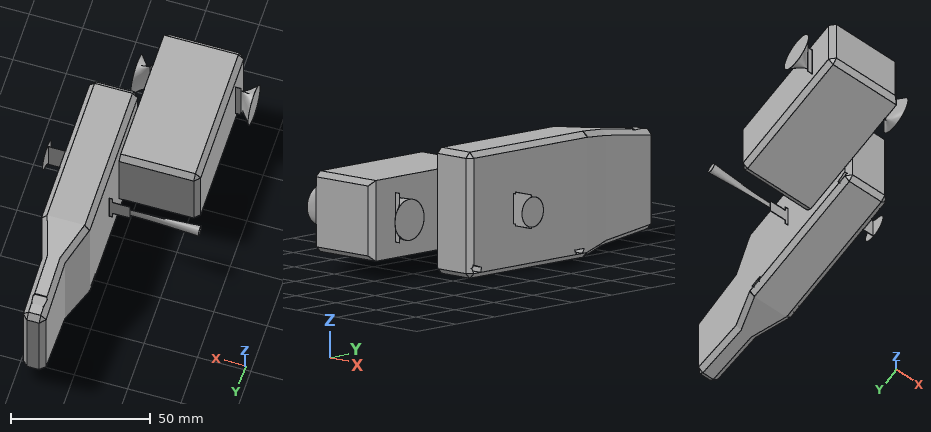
import cadquery as cq

handle_width = 18.2
handle_height = 46.0
handle_length = 100.0
body_length = 60.0
shoulder_length = 15.0
neck_width = 8.6
tip_height = 36.0
chamfer = 2.0
handle_mid_x = handle_width / 2

block_width = 30.0
block_height = 29.5
block_front_y = -31.5
block_back_y = 24.8

web_thickness = 0.1

axle_y = block_front_y + 12.0
axle_collar_height = 18.0
axle_collar_length = 2.0
axle_diameter = 15.0
axle_taper_length = 5.0

knob_y = 22.4
knob_collar_height = 11.0
knob_collar_length = 1.0
knob_head_height = 12.3
knob_head_length = 8.0
knob_face_diameter = 11.0
knob_taper_length = 0.6

pin_y = 36.7
pin_collar_height = 12.3
pin_collar_length = 1.2
pin_step_height = 7.5
pin_step_length = 6.6
pin_diameter = 4.0
pin_taper_length = 26.2

seat_y = handle_length - 7.6
seat_length = 4.0
seat_diameter = 5.8
seat_cut_height = 2.0

window_floor_z = -handle_height / 2 + chamfer
rear_window_y = 56.2
rear_window_floor_length = 3.0
rear_window_top_length = 4.8
rear_window_height = 1.7
front_window_height = 3.1
front_window_corner_height = 1.8
front_window_back_y = 6.0
front_window_floor_back_y = 5.5
front_window_nose_y = 1.5


def make_handle():
    """Bar that narrows in plan through a shoulder and in height from the body to the tip."""
    neck_y = body_length + shoulder_length
    half_width = handle_width / 2
    half_neck = neck_width / 2
    plan = (
        cq.Workplane("XY")
        .workplane(offset=-handle_height / 2)
        .polyline([
            (handle_mid_x - half_width, 0),
            (handle_mid_x + half_width, 0),
            (handle_mid_x + half_width, body_length),
            (handle_mid_x + half_neck, neck_y),
            (handle_mid_x + half_neck, handle_length),
            (handle_mid_x - half_neck, handle_length),
            (handle_mid_x - half_neck, neck_y),
            (handle_mid_x - half_width, body_length),
        ])
        .close()
        .extrude(handle_height)
    )
    profile = (
        cq.Workplane("YZ")
        .polyline([
            (0, -handle_height / 2),
            (body_length, -handle_height / 2),
            (handle_length, -tip_height / 2),
            (handle_length, tip_height / 2),
            (body_length, handle_height / 2),
            (0, handle_height / 2),
        ])
        .close()
        .extrude(handle_width)
    )
    bar = plan.intersect(profile)
    outer_edges = bar.edges("not(|Z or |X)").add(bar.faces("<Y or >Y").edges())
    return outer_edges.chamfer(chamfer)


def make_block():
    """Box with chamfered edges, except those where it lies along the handle's plane."""
    length = block_back_y - block_front_y
    box = cq.Workplane("XY").box(block_width, length, block_height)
    box = box.translate((-block_width / 2, (block_front_y + block_back_y) / 2, 0))
    kept_faces = box.faces("<X or <Y").edges()
    return kept_faces.add(box.faces(">Y").edges("|X")).chamfer(chamfer)


def make_web(start_x, length, height, y, direction):
    """Thin upright plate running from start_x along X in the given direction."""
    plate = cq.Workplane("XY").box(length, web_thickness, height)
    return plate.translate((start_x + direction * length / 2, y, 0))


def make_round_end(start_x, length, height, diameter, y, direction):
    """Taper from a flat upright section to a round face."""
    return (
        cq.Workplane("YZ", origin=(start_x, y, 0))
        .ellipse(web_thickness / 2, height / 2)
        .workplane(offset=direction * length)
        .ellipse(diameter / 2, diameter / 2)
        .loft(ruled=True)
    )


def make_pin(start_x, y, direction, webs, diameter, taper_length):
    """Stack of webs, each a (length, height) pair, closed by a round end."""
    x = start_x
    pin = cq.Workplane("XY")
    for length, height in webs:
        pin = pin.add(make_web(x, length, height, y, direction))
        x += direction * length
    taper_height = min(webs[-1][1], diameter)
    pin = pin.add(make_round_end(x, taper_length, taper_height, diameter, y, direction))
    return pin.combine()


def make_seat_cutter():
    """Round cutter with flattened ends, level with the slope at the end nearer the tip."""
    seat_end_y = seat_y + seat_length / 2
    slope = (handle_height - tip_height) / 2 / (handle_length - body_length)
    floor_z = handle_height / 2 - slope * (seat_end_y - body_length)
    seat_plane = cq.Workplane("XY", origin=(handle_mid_x, seat_y, floor_z))
    disc = seat_plane.circle(seat_diameter / 2).extrude(seat_cut_height)
    return disc.intersect(seat_plane.rect(seat_diameter, seat_length).extrude(seat_cut_height))


def make_window_cutters():
    """Prisms along X: an upturned trapezoid at the rear and a wedge at the front."""
    half_floor = rear_window_floor_length / 2
    half_top = rear_window_top_length / 2
    rear_top_z = window_floor_z + rear_window_height
    corner_z = window_floor_z + front_window_corner_height
    rear_outline = [
        (rear_window_y - half_floor, window_floor_z),
        (rear_window_y + half_floor, window_floor_z),
        (rear_window_y + half_top, rear_top_z),
        (rear_window_y - half_top, rear_top_z),
    ]
    front_outline = [
        (chamfer, window_floor_z),
        (front_window_floor_back_y, window_floor_z),
        (front_window_back_y, corner_z),
        (chamfer, window_floor_z + front_window_height),
        (front_window_nose_y, corner_z),
    ]
    cutters = cq.Workplane("YZ")
    for outline in (rear_outline, front_outline):
        cutters = cutters.add(cq.Workplane("YZ").polyline(outline).close().extrude(handle_width))
    return cutters.combine()


axle_webs = [(axle_collar_length, axle_collar_height)]
knob_webs = [(knob_collar_length, knob_collar_height), (knob_head_length, knob_head_height)]
pin_webs = [(pin_collar_length, pin_collar_height), (pin_step_length, pin_step_height)]

handle = make_handle().cut(make_seat_cutter()).cut(make_window_cutters())
result = handle.union(make_block())
result = result.union(make_pin(-block_width, axle_y, -1, axle_webs, axle_diameter, axle_taper_length))
result = result.union(make_pin(0, axle_y, 1, axle_webs, axle_diameter, axle_taper_length))
result = result.union(make_pin(handle_width, knob_y, 1, knob_webs, knob_face_diameter, knob_taper_length))
result = result.union(make_pin(0, pin_y, -1, pin_webs, pin_diameter, pin_taper_length))